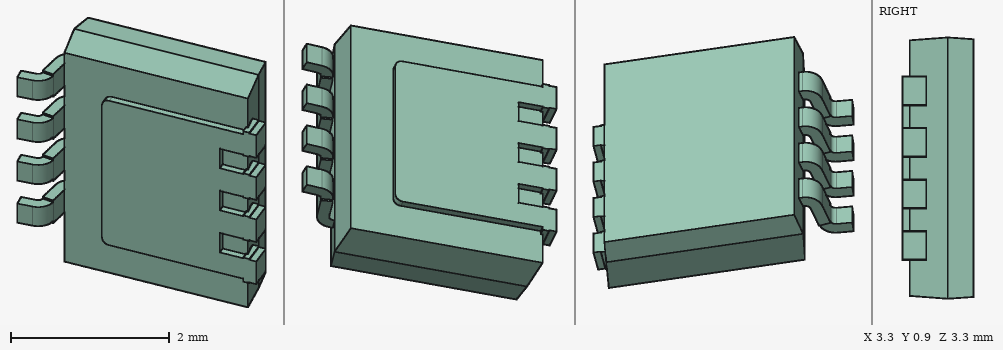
import cadquery as cq
import math


half_length = 1.65
half_height = 1.65

front_y = 0.092
parting_y = 0.575
back_y = 0.9
left_x = -1.102
left_front_x = -1.03
left_back_x = -1.053
right_front_x = 1.495
right_back_x = 1.39
front_half_height = 1.615
back_half_height = 1.627
right_slope = (right_front_x - right_back_x) / (back_y - front_y)
right_x = right_front_x - right_slope * (parting_y - front_y)

contact_pitch = 0.65
contact_width = 0.35
contact_count = 4
contact_zs = [(i - (contact_count - 1) / 2) * contact_pitch for i in range(contact_count)]
gap_zs = [(i - (contact_count - 2) / 2) * contact_pitch for i in range(contact_count - 1)]

plate_thickness = 0.305
plate_left_x = -0.472
plate_half_height = 1.115
plate_corner_radius = 0.095
notch_x = 1.15
dam_start_x = 1.47
dam_end_x = 1.555
dam_width = 0.373

lead_thickness = 0.155
lead_lean = math.radians(8)
foot_tilt = math.radians(4.5)
outer_radius = 0.22
inner_radius = outer_radius - lead_thickness
foot_length = 0.205
foot_width = 0.297
lead_back_y = parting_y + lead_thickness


def xz_plane(y):
    """Workplane parallel to XZ at the given Y, facing -Y."""
    return cq.Workplane("XZ", origin=(0, y, 0))


def tapered_block(y_start, sides_start, y_end, sides_end):
    """Block between two rectangles; each set of sides is (left X, right X, half height)."""
    sections = []
    for y, (left, right, half) in ((y_start, sides_start), (y_end, sides_end)):
        corners = [(left, y, -half), (right, y, -half), (right, y, half), (left, y, half)]
        sections.append(cq.Wire.makePolygon([cq.Vector(*corner) for corner in corners], close=True))
    return cq.Workplane(obj=cq.Solid.makeLoft(sections, True))


def make_drain_plate():
    width = dam_start_x - plate_left_x
    plate = (
        xz_plane(plate_thickness)
        .center(plate_left_x + width / 2, 0)
        .rect(width, 2 * plate_half_height)
        .extrude(plate_thickness)
        .edges("|Y and <X")
        .fillet(plate_corner_radius)
    )
    notch_width = contact_pitch - contact_width
    notch_length = dam_start_x - notch_x
    notches = (
        xz_plane(plate_thickness)
        .pushPoints([(notch_x + notch_length / 2, z) for z in gap_zs])
        .rect(notch_length, notch_width)
        .extrude(plate_thickness)
    )
    plate = plate.cut(notches)
    for start, end, tab_width in (
        (dam_start_x, dam_end_x, dam_width),
        (dam_end_x, half_length, contact_width),
    ):
        tabs = (
            xz_plane(plate_thickness)
            .pushPoints([((start + end) / 2, z) for z in contact_zs])
            .rect(end - start, tab_width)
            .extrude(plate_thickness)
        )
        plate = plate.union(tabs)
    return plate


def polar(center, radius, angle):
    return (center[0] + radius * math.cos(angle), center[1] + radius * math.sin(angle))


def arc(center, radius, middle, end):
    """Middle and end points of an arc, given the directions to them."""
    return polar(center, radius, middle), polar(center, radius, end)


def make_lead(z, back_half):
    """Gull-wing lead at height z, ending flush on the -X side of the back half."""
    low_center = (
        -half_length - inner_radius * math.sin(foot_tilt) + foot_length * math.cos(foot_tilt),
        outer_radius * math.cos(foot_tilt) + foot_length * math.sin(foot_tilt),
    )
    high_y = lead_back_y - outer_radius
    radius_sum = outer_radius + inner_radius
    center_rise = high_y - low_center[1]
    straight = (center_rise + radius_sum * math.sin(lead_lean)) / math.cos(lead_lean)
    high_x = low_center[0] + radius_sum * math.cos(lead_lean) + straight * math.sin(lead_lean)
    high_center = (high_x, high_y)

    high_start = math.pi / 2
    high_end = math.pi - lead_lean
    high_mid = (high_start + high_end) / 2
    low_start = -lead_lean
    low_end = foot_tilt - math.pi / 2
    low_mid = (low_start + low_end) / 2

    def toe(radius):
        x, y = polar(low_center, radius, low_end)
        return (x - foot_length * math.cos(foot_tilt), y - foot_length * math.sin(foot_tilt))

    def extruded(profile, width):
        return profile.close().extrude(width / 2, both=True)

    plane = cq.Workplane("XY", origin=(0, 0, z))
    shank = extruded(
        plane.moveTo(left_back_x, lead_back_y)
        .lineTo(high_x, lead_back_y)
        .threePointArc(*arc(high_center, outer_radius, high_mid, high_end))
        .lineTo(*polar(low_center, inner_radius, low_start))
        .lineTo(*polar(low_center, outer_radius, low_start))
        .lineTo(*polar(high_center, inner_radius, high_end))
        .threePointArc(*arc(high_center, inner_radius, high_mid, high_start))
        .lineTo(left_back_x, parting_y),
        contact_width,
    )
    foot = extruded(
        plane.moveTo(*polar(low_center, inner_radius, low_start))
        .threePointArc(*arc(low_center, inner_radius, low_mid, low_end))
        .lineTo(*toe(inner_radius))
        .lineTo(*toe(outer_radius))
        .lineTo(*polar(low_center, outer_radius, low_end))
        .threePointArc(*arc(low_center, outer_radius, low_mid, low_start)),
        foot_width,
    )
    return shank.union(foot).cut(back_half)


drain_plate = make_drain_plate()
parting_sides = (left_x, right_x, half_height)
housing_front = tapered_block(
    front_y, (left_front_x, right_front_x, front_half_height), parting_y, parting_sides
).cut(drain_plate)
housing_back = tapered_block(
    parting_y, parting_sides, back_y, (left_back_x, right_back_x, back_half_height)
)
leads = [make_lead(z, housing_back) for z in contact_zs]

bodies = [housing_front, housing_back, drain_plate, *leads]
result = cq.Compound.makeCompound([body.solids().val() for body in bodies])